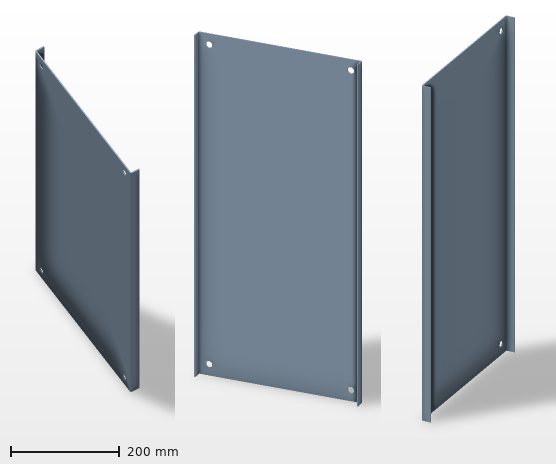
import cadquery as cq

width = 330.0
depth = 19.0
height = 686.0

thickness = 2.5
inner_bend_radius = 0.6
outer_bend_radius = inner_bend_radius + thickness

hole_diameter = 13.0
hole_spacing_x = 285.0
hole_spacing_z = 641.0


def folded_sheet():
    """Channel with a front face and two flanges turned back along +Y."""
    outer = (
        cq.Workplane("XY")
        .box(width, depth, height, centered=(True, False, True))
        .edges("|Z and <Y")
        .fillet(outer_bend_radius)
    )
    inner = (
        cq.Workplane("XY")
        .box(width - 2 * thickness, depth, height, centered=(True, False, True))
        .edges("|Z and <Y")
        .fillet(inner_bend_radius)
        .translate((0, thickness, 0))
    )
    return outer.cut(inner)


def mounting_holes():
    """Cylinders that pass through the front face."""
    return (
        cq.Workplane("XZ")
        .rect(hole_spacing_x, hole_spacing_z, forConstruction=True)
        .vertices()
        .circle(hole_diameter / 2)
        .extrude(-depth)
    )


result = folded_sheet().cut(mounting_holes())